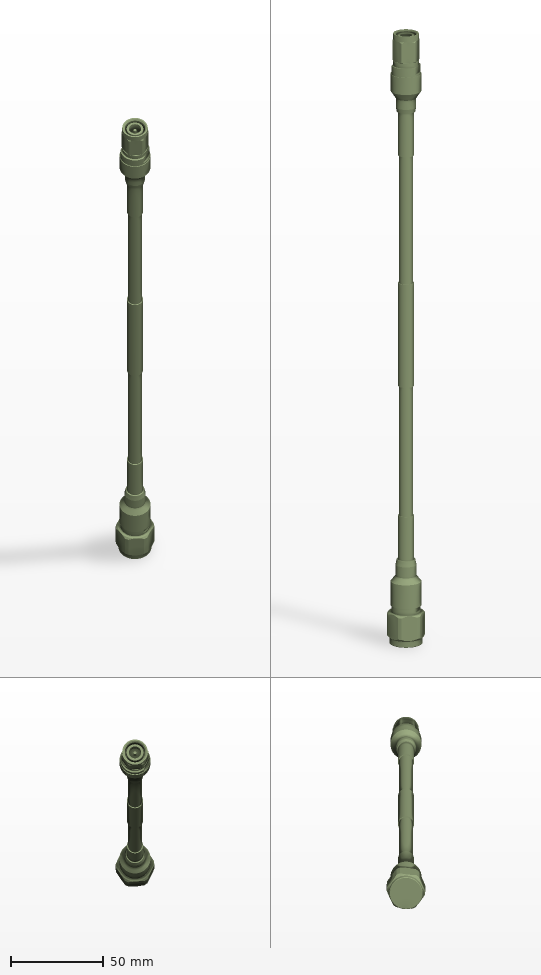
import cadquery as cq
import math

TOTAL_LENGTH = 346.0

CABLE_DIA = 7.5
SLEEVE_DIA = 8.5
MARKER_BOTTOM = 146.0
MARKER_LENGTH = 58.5
BOOT_LENGTH = 25.0
NECK_END_DIA = 10.0

COLLAR_DIA = 16.0
COLLAR_FLATS = 14.0
COLLAR_STEP = 0.4
BODY_DIA = COLLAR_DIA + 2 * COLLAR_STEP

LOWER_RIM_DIA = 18.0
LOWER_RIM_CHAMFER = 0.5
LOWER_NUT_FLATS = 19.0
LOWER_NUT_CORNER_TRIM = 0.55
LOWER_NUT_BOTTOM = 3.5
LOWER_NUT_TOP = 18.0
LOWER_FLATS_BOTTOM = 19.0
LOWER_BODY_BOTTOM = 21.8
LOWER_BODY_TOP = 35.3
LOWER_NECK_DIA = 11.5
LOWER_NECK_BOTTOM = 38.5
LOWER_NECK_TAPER = 44.5
LOWER_NECK_TOP = 47.8

UPPER_RIM_DIA = 14.0
UPPER_NUT_FLATS = 13.0
UPPER_NUT_CORNER_TRIM = 0.2
UPPER_NUT_TOP = 3.3
UPPER_NUT_BOTTOM = 15.2
UPPER_SKIRT_DIA = 14.2
UPPER_SKIRT_BOTTOM = 16.0
UPPER_THROAT_DIA = 14.0
UPPER_FLATS_TOP = 18.0
UPPER_FLATS_BOTTOM = 21.8
UPPER_BODY_TOP = 23.0
UPPER_BODY_BOTTOM = 32.5
UPPER_NECK_DIA = 11.0
UPPER_NECK_TOP = 36.7
UPPER_NECK_TAPER = 42.0
UPPER_NECK_BOTTOM = 44.3

SOCKET_DIA = 11.0
SOCKET_DEPTH = 7.0
SOCKET_CHAMFER = 0.7
CONTACT_OUTER_DIA = 9.0
CONTACT_INNER_DIA = 6.5
CONTACT_TOP = 1.0
PIN_DIA = 1.65
PIN_TOP = 2.0


def cylinder(diameter, bottom, top):
    return cq.Workplane("XY").workplane(offset=bottom).circle(diameter / 2).extrude(top - bottom)


def tube(outer_dia, inner_dia, bottom, top):
    return cylinder(outer_dia, bottom, top).cut(cylinder(inner_dia, bottom, top))


def cone(bottom_dia, top_dia, bottom, top):
    base = cq.Vector(0, 0, bottom)
    return cq.Workplane(cq.Solid.makeCone(bottom_dia / 2, top_dia / 2, top - bottom, base))


def hex_nut(flats, corner_trim, bottom_face_dia, top_face_dia, bottom, top):
    """Hexagon with flats facing +X and -X, corners turned down, and 45 degree cones at both ends."""
    sharp_dia = flats / math.cos(math.pi / 6)
    corner_radius = sharp_dia / 2 - corner_trim
    bottom_radius = bottom_face_dia / 2
    top_radius = top_face_dia / 2
    prism = (
        cq.Workplane("XY").workplane(offset=bottom)
        .polygon(6, sharp_dia).extrude(top - bottom)
        .rotate((0, 0, 0), (0, 0, 1), 30)
    )
    turned_shape = (
        cq.Workplane("XZ")
        .moveTo(0, bottom)
        .lineTo(bottom_radius, bottom)
        .lineTo(corner_radius, bottom + corner_radius - bottom_radius)
        .lineTo(corner_radius, top - corner_radius + top_radius)
        .lineTo(top_radius, top)
        .lineTo(0, top)
        .close()
        .revolve(360, (0, 0), (0, 1))
    )
    return prism.intersect(turned_shape)


def flatted_collar(bottom, top):
    """Round collar with two spanner flats facing +X and -X."""
    length = top - bottom
    slab = cq.Workplane("XY").box(COLLAR_FLATS, COLLAR_DIA, length)
    return cylinder(COLLAR_DIA, bottom, top).intersect(slab.translate((0, 0, bottom + length / 2)))


def join(first, *others):
    for other in others:
        first = first.union(other)
    return first


def height(depth):
    """Z of a point at the given depth below the open end of the upper connector."""
    return TOTAL_LENGTH - depth


def make_lower_connector():
    rim = cylinder(LOWER_RIM_DIA, 0, LOWER_NUT_BOTTOM).faces("<Z").chamfer(LOWER_RIM_CHAMFER)
    nut = hex_nut(
        LOWER_NUT_FLATS, LOWER_NUT_CORNER_TRIM, LOWER_RIM_DIA, LOWER_NUT_FLATS,
        LOWER_NUT_BOTTOM, LOWER_NUT_TOP,
    )
    collar = cylinder(COLLAR_DIA, LOWER_NUT_TOP, LOWER_FLATS_BOTTOM)
    spanner_flats = flatted_collar(LOWER_FLATS_BOTTOM, LOWER_BODY_BOTTOM)
    body = cylinder(BODY_DIA, LOWER_BODY_BOTTOM, LOWER_BODY_TOP)
    shoulder = cone(BODY_DIA, LOWER_NECK_DIA, LOWER_BODY_TOP, LOWER_NECK_BOTTOM)
    neck = cylinder(LOWER_NECK_DIA, LOWER_NECK_BOTTOM, LOWER_NECK_TAPER)
    taper = cone(LOWER_NECK_DIA, NECK_END_DIA, LOWER_NECK_TAPER, LOWER_NECK_TOP)
    boot = tube(SLEEVE_DIA, CABLE_DIA, LOWER_NECK_TOP, LOWER_NECK_TOP + BOOT_LENGTH)
    return join(rim, nut, collar, spanner_flats, body, shoulder, neck, taper, boot)


def make_upper_connector():
    rim = cylinder(UPPER_RIM_DIA, height(UPPER_NUT_TOP), TOTAL_LENGTH)
    nut = hex_nut(
        UPPER_NUT_FLATS, UPPER_NUT_CORNER_TRIM, UPPER_RIM_DIA, UPPER_RIM_DIA,
        height(UPPER_NUT_BOTTOM), height(UPPER_NUT_TOP),
    )
    skirt = cylinder(UPPER_SKIRT_DIA, height(UPPER_SKIRT_BOTTOM), height(UPPER_NUT_BOTTOM))
    throat = cylinder(UPPER_THROAT_DIA, height(UPPER_FLATS_TOP), height(UPPER_SKIRT_BOTTOM))
    spanner_flats = flatted_collar(height(UPPER_FLATS_BOTTOM), height(UPPER_FLATS_TOP))
    collar = cylinder(COLLAR_DIA, height(UPPER_BODY_TOP), height(UPPER_FLATS_BOTTOM))
    body = cylinder(BODY_DIA, height(UPPER_BODY_BOTTOM), height(UPPER_BODY_TOP))
    shoulder = cone(UPPER_NECK_DIA, BODY_DIA, height(UPPER_NECK_TOP), height(UPPER_BODY_BOTTOM))
    neck = cylinder(UPPER_NECK_DIA, height(UPPER_NECK_TAPER), height(UPPER_NECK_TOP))
    taper = cone(NECK_END_DIA, UPPER_NECK_DIA, height(UPPER_NECK_BOTTOM), height(UPPER_NECK_TAPER))
    boot_top = height(UPPER_NECK_BOTTOM)
    boot = tube(SLEEVE_DIA, CABLE_DIA, boot_top - BOOT_LENGTH, boot_top)
    outside = join(rim, nut, skirt, throat, spanner_flats, collar, body, shoulder, neck, taper, boot)
    return cut_socket(outside)


def cut_socket(connector):
    floor = height(SOCKET_DEPTH)
    mouth_dia = SOCKET_DIA + 2 * SOCKET_CHAMFER
    bore = cylinder(SOCKET_DIA, floor, TOTAL_LENGTH)
    mouth = cone(SOCKET_DIA, mouth_dia, height(SOCKET_CHAMFER), TOTAL_LENGTH)
    contact = tube(CONTACT_OUTER_DIA, CONTACT_INNER_DIA, floor, height(CONTACT_TOP))
    pin = cylinder(PIN_DIA, floor, height(PIN_TOP))
    return join(connector.cut(bore).cut(mouth), contact, pin)


def make_cable():
    return cylinder(CABLE_DIA, LOWER_NECK_TOP, height(UPPER_NECK_BOTTOM))


def make_marker():
    return tube(SLEEVE_DIA, CABLE_DIA, MARKER_BOTTOM, MARKER_BOTTOM + MARKER_LENGTH)


lower_connector = make_lower_connector()
upper_connector = make_upper_connector()
cable = make_cable()
marker = make_marker()

result = cq.Compound.makeCompound(
    [lower_connector.val(), upper_connector.val(), cable.val(), marker.val()]
)